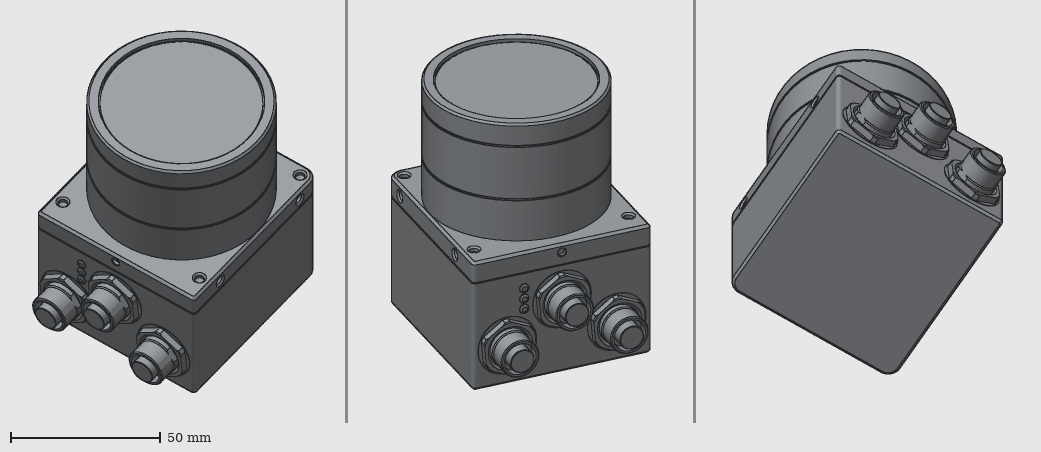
import cadquery as cq

housing_width = 65.7
housing_front_y = -37.25
housing_rear_y = housing_width / 2
housing_depth = housing_rear_y - housing_front_y
housing_height = 48.95
rear_corner_radius = 4.7
front_corner_radius = 1.4
housing_edge_chamfer = 0.9

lid_seam_z = 41.0
lid_seam_width = 0.4
lid_seam_depth = 0.2

total_height = 93.6
turret_radius = 31.8
turret_edge_chamfer = 0.75
turret_groove_heights = (64.6, 85.0)
turret_groove_width = 0.7
turret_groove_depth = 0.3
window_radius = 27.9
window_groove_width = 0.6
window_groove_depth = 0.4
window_recess_depth = 0.9

screw_offset = 28.5
screw_hole_radius = 1.7
screw_hole_depth = 1.9
screw_hole_tip_depth = 0.9
screw_countersink_radius = 2.3
side_hole_offset = 22.5
side_hole_z = 44.8
front_hole_z = 45.8
front_hole_radius = 1.7
front_hole_depth = 1.4
front_hole_chamfer = 0.3

light_x = -14.0
light_heights = (27.3, 31.3, 35.2)
light_radius = 1.7
light_face_radius = 0.9
light_rim_height = 0.3
light_height = 0.7
light_seat_depth = 0.5

side_connector_x = 20.1
side_connector_z = 14.7
middle_connector_z = 27.9
connector_places = (
    (-side_connector_x, side_connector_z),
    (0, middle_connector_z),
    (side_connector_x, side_connector_z),
)
connector_turn = 35.0
spot_face_radius = 10.8
spot_face_depth = 0.2
nut_across_flats = 18.5
nut_turn = 30.0
nut_corner_radius = 10.2
nut_corner_chamfer = 0.4
nut_end = 2.5
nut_countersink_radius = 8.2
nut_countersink_depth = 0.75
collar_radius = 7.3
collar_end = 3.65
sleeve_radius = 6.9
sleeve_taper = 0.5
sleeve_end = 10.6
sleeve_rim_chamfer = 0.4
sleeve_bore_radius = 5.8
sleeve_bore_depth = 3.7
sleeve_flat_distance = 6.8
core_radius = 4.3
core_edge_chamfer = 0.2
core_end = 12.4


def cylinder(radius, start, end):
    """Round bar on the Z axis."""
    return cq.Workplane("XY").workplane(offset=start).circle(radius).extrude(end - start)


def ring(outer_radius, inner_radius, start, end):
    """Tube on the Z axis."""
    return cylinder(outer_radius, start, end).cut(cylinder(inner_radius, start, end))


def make_block(inset):
    """Housing block with shaped vertical edges, its outline moved inwards by inset."""
    block = (
        cq.Workplane("XY")
        .center(0, (housing_front_y + housing_rear_y) / 2)
        .rect(housing_width - 2 * inset, housing_depth - 2 * inset)
        .extrude(housing_height)
    )
    block = block.edges("|Z and >Y").fillet(rear_corner_radius - inset)
    return block.edges("|Z and <Y").fillet(front_corner_radius - inset)


def make_housing():
    """Chamfered block with the lid seam running around it."""
    block = make_block(0).faces("<Z or >Z").edges().chamfer(housing_edge_chamfer)
    seam_band = (
        cq.Workplane("XY")
        .workplane(offset=lid_seam_z - lid_seam_width / 2)
        .rect(2 * housing_width, 2 * housing_depth)
        .extrude(lid_seam_width)
    )
    return block.cut(seam_band.cut(make_block(lid_seam_depth)))


def make_turret():
    """Stacked round sections parted by shallow grooves, with a round window on top."""
    turret = cylinder(turret_radius, housing_height, total_height)
    turret = turret.faces(">Z").edges().chamfer(turret_edge_chamfer)
    for height in turret_groove_heights:
        bottom = height - turret_groove_width / 2
        groove_floor_radius = turret_radius - turret_groove_depth
        turret = turret.cut(ring(turret_radius, groove_floor_radius, bottom, bottom + turret_groove_width))
    window_top = total_height - window_recess_depth
    turret = turret.cut(cylinder(window_radius, window_top, total_height))
    window_edge_radius = window_radius - window_groove_width
    return turret.cut(ring(window_radius, window_edge_radius, window_top - window_groove_depth, window_top))


def make_screw_hole():
    """Cutter for a countersunk, pointed hole going down from the origin."""
    countersink_depth = screw_countersink_radius - screw_hole_radius
    return (
        cq.Workplane("XZ")
        .polyline(
            [
                (0, 0),
                (screw_countersink_radius, 0),
                (screw_hole_radius, -countersink_depth),
                (screw_hole_radius, -screw_hole_depth),
                (0, -screw_hole_depth - screw_hole_tip_depth),
            ]
        )
        .close()
        .revolve(360, (0, 0, 0), (0, 1, 0))
    )


def onto_front(shape, x, z):
    """Turn a shape standing on the XY plane to stand on the front face at the given place."""
    return shape.rotate((0, 0, 0), (1, 0, 0), 90).translate((x, housing_front_y, z))


def make_light():
    """Status light: a low disc with a sloping shoulder around a small flat face."""
    slope_height = light_height - light_rim_height
    slope_width = light_radius - light_face_radius
    light = cylinder(light_radius, -light_seat_depth, light_height)
    return light.faces(">Z").edges().chamfer(slope_height, slope_width)


def make_nut():
    """Hexagon nut with rounded-off corners and a tapered recess around the collar."""
    nut = cq.Workplane("XY").polygon(6, nut_across_flats, circumscribed=True).extrude(nut_end)
    nut_limit = cylinder(nut_corner_radius, 0, nut_end).faces(">Z").edges().chamfer(nut_corner_chamfer)
    nut = nut.rotate((0, 0, 0), (0, 0, 1), nut_turn)
    nut = nut.intersect(nut_limit)
    nut_recess = (
        cq.Workplane("XY")
        .workplane(offset=nut_end)
        .circle(nut_countersink_radius)
        .workplane(offset=-nut_countersink_depth)
        .circle(collar_radius)
        .loft()
    )
    return nut.cut(nut_recess)


def make_socket():
    """Collar and sleeve with two opposite flats, hollow at the end around a central core."""
    barrel = (
        cq.Workplane("XZ")
        .moveTo(0, -spot_face_depth)
        .lineTo(collar_radius, -spot_face_depth)
        .lineTo(collar_radius, collar_end)
        .lineTo(sleeve_radius, collar_end + sleeve_taper)
        .lineTo(sleeve_radius, sleeve_end - sleeve_rim_chamfer)
        .lineTo(sleeve_radius - sleeve_rim_chamfer, sleeve_end)
        .lineTo(0, sleeve_end)
        .close()
        .revolve(360, (0, 0, 0), (0, 1, 0))
    )
    flats = (
        cq.Workplane("XY")
        .workplane(offset=-spot_face_depth)
        .rect(2 * sleeve_flat_distance, 4 * sleeve_radius)
        .extrude(core_end)
    )
    barrel = barrel.intersect(flats)
    bore_floor = sleeve_end - sleeve_bore_depth
    barrel = barrel.cut(cylinder(sleeve_bore_radius, bore_floor, sleeve_end))
    core = cylinder(core_radius, bore_floor, core_end).faces(">Z").edges().chamfer(core_edge_chamfer)
    return barrel.union(core)


def make_connector():
    """Socket with its nut, standing on the XY plane and pointing up."""
    nut_base = cylinder(nut_countersink_radius, -spot_face_depth, 0)
    connector = make_nut().union(nut_base).union(make_socket())
    return connector.rotate((0, 0, 0), (0, 0, 1), connector_turn)


def make_front_hole():
    """Cutter for the chamfered hole going down from the origin."""
    inner_radius = front_hole_radius - front_hole_chamfer
    mouth = (
        cq.Workplane("XY")
        .circle(front_hole_radius)
        .workplane(offset=-front_hole_chamfer)
        .circle(inner_radius)
        .loft()
    )
    return cylinder(inner_radius, -front_hole_depth, 0).union(mouth)


result = make_housing().union(make_turret())

screw_hole = make_screw_hole()
left_hole = screw_hole.rotate((0, 0, 0), (0, 1, 0), -90).translate((-housing_width / 2, 0, side_hole_z))
right_hole = left_hole.mirror("YZ")
for y_side in (-1, 1):
    for x_side in (-1, 1):
        top_place = (x_side * screw_offset, y_side * screw_offset, housing_height)
        result = result.cut(screw_hole.translate(top_place))
    for side_hole in (left_hole, right_hole):
        result = result.cut(side_hole.translate((0, y_side * side_hole_offset, 0)))

result = result.cut(onto_front(make_front_hole(), 0, front_hole_z))

light = make_light()
for light_z in light_heights:
    result = result.union(onto_front(light, light_x, light_z))

spot_face = cylinder(spot_face_radius, -spot_face_depth, 0)
connector = make_connector()
for x, z in connector_places:
    result = result.cut(onto_front(spot_face, x, z))
    result = result.union(onto_front(connector, x, z))